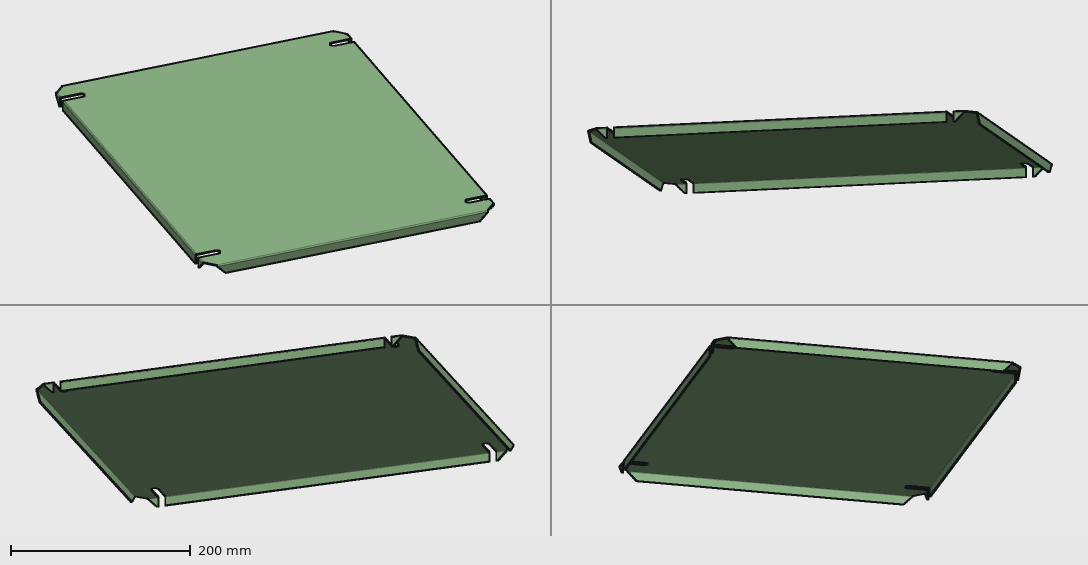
import cadquery as cq
import math

length_x = 448.73
width_y = 352.73
height = 12.0
thickness = 1.5
inner_bend_radius = 0.1

flange_inset = 12.5

slot_width = 8.2
slot_spacing_x = 391.0
slot_depth = 28.2

outer_bend_radius = inner_bend_radius + thickness
taper_run = height - outer_bend_radius
slot_radius = slot_width / 2
COS_45 = math.sqrt(0.5)


def make_plate():
    """Flat top sheet inside the bend lines, with its four corners cut off."""
    corner_cut = flange_inset - outer_bend_radius
    return (
        cq.Workplane("XY")
        .workplane(offset=-thickness)
        .rect(length_x - 2 * outer_bend_radius, width_y - 2 * outer_bend_radius)
        .extrude(thickness)
        .edges("|Z")
        .chamfer(corner_cut)
    )


def make_flange(edge_length, edge_distance):
    """Bent flange running along X, on the -Y side at edge_distance from the centre."""
    half_span = edge_length / 2 - flange_inset
    bend_y = -edge_distance + outer_bend_radius
    bend_z = -outer_bend_radius
    wall_inner_y = -edge_distance + thickness

    profile = (
        cq.Workplane("YZ")
        .workplane(offset=-half_span)
        .moveTo(bend_y, 0)
        .threePointArc(
            (bend_y - outer_bend_radius * COS_45, bend_z + outer_bend_radius * COS_45),
            (-edge_distance, bend_z),
        )
        .lineTo(-edge_distance, -height)
        .lineTo(wall_inner_y, -height)
        .lineTo(wall_inner_y, bend_z)
        .threePointArc(
            (bend_y - inner_bend_radius * COS_45, bend_z + inner_bend_radius * COS_45),
            (bend_y, -thickness),
        )
        .close()
    )
    strip = profile.extrude(2 * half_span)

    outline = (
        cq.Workplane("XZ")
        .polyline([
            (-half_span, 0),
            (-half_span, bend_z),
            (-half_span + taper_run, -height),
            (half_span - taper_run, -height),
            (half_span, bend_z),
            (half_span, 0),
        ])
        .close()
        .extrude(edge_distance)
    )
    return strip.intersect(outline)


def make_slot(x, side):
    """Cutter for a slot open at the edge on the given Y side (+1 or -1)."""
    edge_y = side * width_y / 2
    arc_center_y = edge_y - side * (slot_depth - slot_radius)
    round_end_y = edge_y - side * slot_depth
    return (
        cq.Workplane("XY")
        .moveTo(x - slot_radius, edge_y)
        .lineTo(x - slot_radius, arc_center_y)
        .threePointArc((x, round_end_y), (x + slot_radius, arc_center_y))
        .lineTo(x + slot_radius, edge_y)
        .close()
        .extrude(-height)
    )


result = make_plate()

long_flange = make_flange(length_x, width_y / 2)
short_flange = make_flange(width_y, length_x / 2)
half_turn = 180
quarter_turn = 90
for turn in (0, half_turn):
    for flange, angle in ((long_flange, turn), (short_flange, turn + quarter_turn)):
        result = result.union(flange.rotate((0, 0, 0), (0, 0, 1), angle))

for side in (-1, 1):
    for x in (-slot_spacing_x / 2, slot_spacing_x / 2):
        result = result.cut(make_slot(x, side))